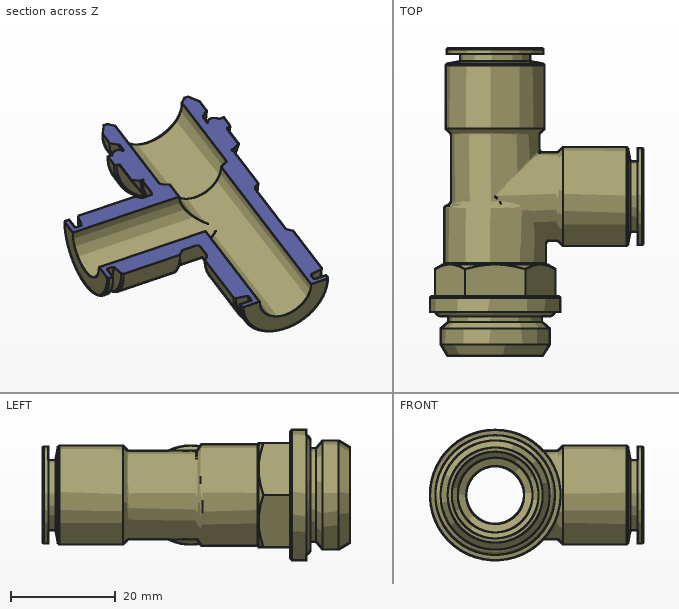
import cadquery as cq
import math


arm_length = 28.4
stem_radius = 8.5
sleeve_radius = 9.5
sleeve_start = 13.0
sleeve_end = 25.45
sleeve_chamfer = 0.35
cap_length = 0.45
collar_radius = 9.3
collar_thickness = 1.15
collar_chamfer = 0.3
collar_neck_radius = 6.75
shoulder_blend = 0.5

body_radius = 9.75
body_shoulder = 2.0
body_shoulder_angle = 30.0
body_chamfer = 0.25

hex_start = 13.0
hex_across_flats = 20.0
hex_chamfer_angle = 30.0
flange_radius = 12.5
flange_start = 19.0
flange_end = 22.1
flange_chamfer = 0.4
seal_radius = 11.45
seal_end = 22.95
undercut_radius = 9.0
undercut_end = 24.0
thread_radius = 10.45
thread_start = 25.25
thread_end = 28.3
tip_radius = 9.1
tip_end = 30.5

bore_radius = 5.5
entry_bore_radius = 7.15
entry_bore_depth = 20.0
entry_chamfer_radius = 8.3
entry_chamfer_depth = 1.15
drill_point_angle = 60.0

crotch_fillet = 0.5

arm_shoulder_foot = (stem_radius, sleeve_start - (sleeve_radius - stem_radius))


def toward(start, target, distance):
    """Point lying the given distance from start along the line to target."""
    share = distance / math.dist(start, target)
    return tuple(a + (b - a) * share for a, b in zip(start, target))


def blend_points(before, corner, after, radius):
    """Start, middle and end of the arc that rounds a corner between two straight lines."""
    middle_of_directions = [
        (a + b) / 2 for a, b in zip(toward(corner, before, 1), toward(corner, after, 1))
    ]
    half_angle = math.acos(math.dist(corner, middle_of_directions))
    setback = radius / math.tan(half_angle)
    centre_distance = radius / math.sin(half_angle)
    return (
        toward(corner, before, setback),
        toward(corner, middle_of_directions, centre_distance - radius),
        toward(corner, after, setback),
    )


def revolve_about_y(outline):
    """Close a (radius, y) outline along the Y axis and turn it into a solid."""
    return outline.close().revolve(360, (0, 0, 0), (0, 1, 0))


def turned(points, blends=None):
    """Solid turned about the Y axis from a (radius, y) outline.

    The outline starts and ends on the axis; blends maps an inner corner to its rounding radius.
    """
    outline = cq.Workplane("ZY").moveTo(*points[0])
    for before, corner, after in zip(points, points[1:], points[2:]):
        if blends and corner in blends:
            start, middle, end = blend_points(before, corner, after, blends[corner])
            outline = outline.lineTo(*start).threePointArc(middle, end)
        else:
            outline = outline.lineTo(*corner)
    return revolve_about_y(outline.lineTo(*points[-1]))


def arm_outline():
    """Sleeve and release collar of a push-in end, from the stem to the open end on the axis."""
    collar_start = arm_length - collar_thickness
    return [
        arm_shoulder_foot,
        (sleeve_radius, sleeve_start),
        (sleeve_radius, sleeve_end - sleeve_chamfer),
        (sleeve_radius - sleeve_chamfer, sleeve_end),
        (collar_neck_radius, sleeve_end + cap_length),
        (collar_neck_radius, collar_start),
        (collar_radius, collar_start),
        (collar_radius, arm_length - collar_chamfer),
        (collar_radius - collar_chamfer, arm_length),
        (0, arm_length),
    ]


def make_branch():
    """Branch arm along +X, starting at the crossing."""
    stem = [(0, 0), (stem_radius, 0)]
    arm = turned(stem + arm_outline(), {arm_shoulder_foot: shoulder_blend})
    return arm.rotate((0, 0, 0), (0, 0, 1), -90)


def make_run():
    """Swivel body and straight arm, from the face of the hexagon to the far open end."""
    shoulder_rise = (body_radius - stem_radius) * math.tan(math.radians(body_shoulder_angle))
    body_shoulder_foot = (stem_radius, -body_shoulder + shoulder_rise)
    body_shoulder_rim = (body_radius, -body_shoulder)
    body = [
        (0, -hex_start),
        (body_radius - body_chamfer, -hex_start),
        (body_radius, -hex_start + body_chamfer),
        body_shoulder_rim,
        body_shoulder_foot,
    ]
    rounded_corners = (body_shoulder_rim, body_shoulder_foot, arm_shoulder_foot)
    blends = {corner: shoulder_blend for corner in rounded_corners}
    return turned(body + arm_outline(), blends).rotate((0, 0, 0), (0, 1, 0), -90)


def make_hexagon():
    """Hexagon with flats facing +Z and -Z, its corners bevelled on the body side."""
    corner_diameter = hex_across_flats / math.cos(math.pi / 6)
    corner_radius = corner_diameter / 2
    flat_radius = hex_across_flats / 2
    bevel_depth = (corner_radius - flat_radius) * math.tan(math.radians(hex_chamfer_angle))
    prism = (
        cq.Workplane("XZ", origin=(0, -hex_start, 0))
        .polygon(6, corner_diameter)
        .extrude(flange_start - hex_start)
    )
    envelope = turned(
        [
            (0, -hex_start),
            (flat_radius, -hex_start),
            (corner_radius, -hex_start - bevel_depth),
            (corner_radius, -flange_start),
            (0, -flange_start),
        ]
    )
    return prism.intersect(envelope)


def make_threaded_end():
    """Flange, rounded seal, undercut and plain thread barrel with a tapered tip."""
    seal_crest = ((seal_radius + undercut_radius) / 2, -seal_end)
    outline = (
        cq.Workplane("ZY")
        .moveTo(0, -flange_start)
        .lineTo(flange_radius - flange_chamfer, -flange_start)
        .lineTo(flange_radius, -flange_start - flange_chamfer)
        .lineTo(flange_radius, -flange_end)
        .lineTo(seal_radius, -flange_end)
        .threePointArc(seal_crest, (undercut_radius, -flange_end))
        .lineTo(undercut_radius, -undercut_end)
        .lineTo(thread_radius, -thread_start)
        .lineTo(thread_radius, -thread_end)
        .lineTo(tip_radius, -tip_end)
        .lineTo(0, -tip_end)
    )
    return revolve_about_y(outline)


def make_run_bore():
    """Through bore of the run, opened out and chamfered at the threaded end."""
    entry_bottom = -tip_end + entry_bore_depth
    cone_depth = (entry_bore_radius - bore_radius) / math.tan(math.radians(drill_point_angle))
    return turned(
        [
            (0, -tip_end),
            (entry_chamfer_radius, -tip_end),
            (entry_bore_radius, -tip_end + entry_chamfer_depth),
            (entry_bore_radius, entry_bottom),
            (bore_radius, entry_bottom + cone_depth),
            (bore_radius, arm_length),
            (0, arm_length),
        ]
    )


def make_branch_bore():
    """Bore of the branch, from the crossing to its open end."""
    return cq.Workplane("YZ").circle(bore_radius).extrude(arm_length)


def round_crotch(tee):
    """Blend the curves where the branch stem meets the run."""
    reach = body_radius
    crotch_box = cq.selectors.BoxSelector((0, -reach, -reach), (reach, reach, reach))
    meeting_curves = tee.edges("not (%LINE or %CIRCLE)").edges(crotch_box)
    return meeting_curves.fillet(crotch_fillet)


run = make_run().union(make_hexagon()).union(make_threaded_end())
tee = round_crotch(run.union(make_branch()))
result = tee.cut(make_run_bore()).cut(make_branch_bore())